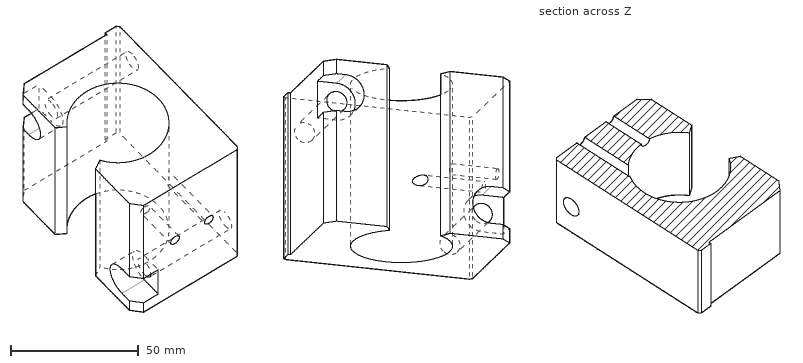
import cadquery as cq
import math

width = 78.0
depth = 51.0
height = 67.0
top_chamfer = 1.0
foot_chamfer_x = 4.1
foot_chamfer_y = 3.8
ledge_step = 1.0
ledge_depth = 6.5

bore_diameter = 40.0
back_wall = 10.0
mouth_half_angle = math.radians(31.8)

pocket_width = 15.2
pocket_depth = 11.1
screw_diameter = 8.35
screw_inset_x = 9.0
screw_inset_z = 13.6

cross_diameter = 4.3
cross_hole_positions_y = (-1.6, 15.05)

half_width = width / 2
bore_radius = bore_diameter / 2
back_y = back_wall + bore_radius
front_y = back_y - depth
screw_x = half_width - screw_inset_x
screw_z = height / 2 - screw_inset_z


def make_block():
    """Chamfered outline with a thin locating ledge along the -X side."""
    ledge_y = back_y - ledge_depth
    side_x = -half_width + ledge_step
    outline = [
        (-half_width, ledge_y),
        (-half_width, back_y - top_chamfer),
        (-half_width + top_chamfer, back_y),
        (half_width - top_chamfer, back_y),
        (half_width, back_y - top_chamfer),
        (half_width, front_y + foot_chamfer_y),
        (half_width - foot_chamfer_x, front_y),
        (side_x + foot_chamfer_x, front_y),
        (side_x, front_y + foot_chamfer_y),
        (side_x, ledge_y),
    ]
    return cq.Workplane("XY").polyline(outline).close().extrude(height / 2, both=True)


def make_bore():
    """Round bore with a mouth whose flanks are radial to the bore axis."""
    mouth_half_width = -front_y * math.tan(mouth_half_angle)
    bore = cq.Workplane("XY").circle(bore_radius).extrude(height / 2, both=True)
    mouth = (
        cq.Workplane("XY")
        .polyline([(0, 0), (-mouth_half_width, front_y), (mouth_half_width, front_y)])
        .close()
        .extrude(height / 2, both=True)
    )
    return bore.union(mouth)


def make_screw_pocket(side):
    """Round-ended pocket open to one side (+1 or -1 along X), with a through hole."""
    center_x = side * screw_x
    center_z = -side * screw_z
    front = cq.Workplane("XZ", origin=(center_x, front_y, center_z))
    round_end = front.circle(pocket_width / 2).extrude(-pocket_depth)
    side_opening = (
        front.center(side * screw_inset_x / 2, 0)
        .rect(screw_inset_x, pocket_width)
        .extrude(-pocket_depth)
    )
    screw_hole = front.circle(screw_diameter / 2).extrude(-depth)
    return round_end.union(side_opening).union(screw_hole)


def make_cross_hole(center_y):
    """Hole along X at half height, opening into the bore."""
    return cq.Workplane("YZ").center(center_y, 0).circle(cross_diameter / 2).extrude(half_width)


result = make_block().cut(make_bore())
for side in (-1, 1):
    result = result.cut(make_screw_pocket(side))
for center_y in cross_hole_positions_y:
    result = result.cut(make_cross_hole(center_y))